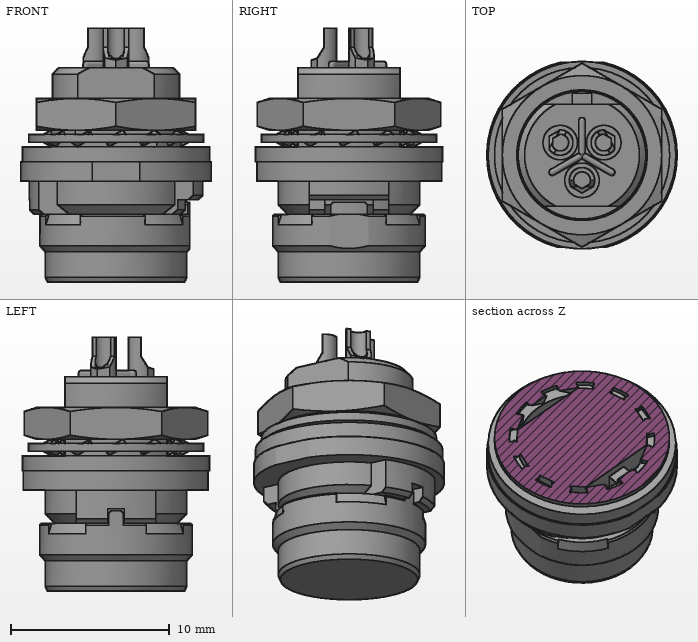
import cadquery as cq
import math

plug_bevel_height = 0.3
plug_bevel_width = 0.15
plug_top = 1.9
ring_cone_top = 2.3
recess_floor = 3.63
ring_top = 4.27
body_bottom = ring_top
body_cone_top = 4.88
flange_bottom = 6.37
gasket_bottom = 7.58
gasket_top = 8.53
nut_bottom = 9.57
nut_top = 11.57
thread_top = 13.5
total_height = 16

plug_radius = 4.46
ring_radius = 4.82
ring_edge_chamfer = 0.11
ring_inner_radius = 4.29
ring_groove_depth = 0.48
ring_flat = 4.65
flange_radius = 6.0
flange_flat_front = 5.8
flange_flat_back = 5.85
gasket_radius = 5.9
neck_radius = plug_radius - (body_cone_top - body_bottom)
thread_radius = 4.02
thread_chamfer = 0.4
thread_flat = 3.22
nut_bore_radius = 4.11
bore_ledge_depth = 0.32

overlap = 0.08
clearance = 0.16

recess_depth = 0.22
recess_span = 38.5
recess_angles = (48.4, 137.3, -137.3, -48.4)

wing_radius = 5.47
wing_half_width = 2.51
wing_chamfer = 0.29
step_height = 5.18
step_radius = 4.62
tab_chamfer = 0.16
left_notch_half_width = 0.53
left_tab_half_width = 0.46
left_tab_top = 5.07
right_notch_half_width = 1.52
right_tab_half_width = 1.15
right_tab_top = 5.04

nut_across_flats = 10.03
nut_corner_drop = 0.25

washer_radius = 5.52
washer_bore_radius = 4.56
washer_bottom = 8.8
washer_thickness = 0.51
tooth_count = 12
tooth_width = 1.28
tooth_root_thickness = 0.45
tooth_twist = 28.0
tooth_tip_radius = 4.06

key_half_width = 0.62
key_reach = 3.9

contact_pitch_radius = 1.58
contact_angles = (30, 150, 270)
contact_radius = 0.8
contact_bore = 0.53
contact_hole_radius = 1.09
contact_hole_depth = 1.28
contact_lip = 13.98
contact_slope_bottom = 14.11
contact_slope_top = 14.78
contact_slope_reach = 0.42
rib_angles = (90, 210, 330)
rib_length = 2.37
rib_width = 0.42
rib_height = 0.4
rib_fillet = 0.2


def cylinder(radius, bottom, top):
    return cq.Workplane("XY", origin=(0, 0, bottom)).circle(radius).extrude(top - bottom)


def box(x_min, x_max, y_min, y_max, z_min, z_max):
    size = (x_max - x_min, y_max - y_min, z_max - z_min)
    return cq.Workplane("XY", origin=(x_min, y_min, z_min)).box(*size, centered=False)


def turned(profile, angle=360):
    """Revolve (radius, height) points about Z, starting at the +X side."""
    return cq.Workplane("XZ").polyline(profile).close().revolve(angle, (0, 0), (0, 1))


def about_z(shape, angle):
    return shape.rotate((0, 0, 0), (0, 0, 1), angle)


def make_plug():
    return turned([
        (0, 0),
        (plug_radius - plug_bevel_width, 0),
        (plug_radius, plug_bevel_height),
        (plug_radius, plug_top),
        (0, plug_top),
    ])


def make_ring():
    ring = turned([
        (0, plug_top),
        (plug_radius, plug_top),
        (ring_radius, ring_cone_top),
        (ring_radius, ring_top - ring_edge_chamfer),
        (ring_radius - ring_edge_chamfer, ring_top),
        (0, ring_top),
    ])
    slope = (ring_top - recess_floor) / recess_depth
    outer = ring_radius + clearance
    recess_top = recess_floor + slope * (recess_depth + clearance)
    recess = turned([
        (ring_radius, recess_floor),
        (outer, recess_floor),
        (outer, recess_top),
        (ring_radius - recess_depth - clearance, recess_top),
    ], recess_span)
    for angle in recess_angles:
        middle = recess.val().Center()
        own_angle = math.degrees(math.atan2(middle.y, middle.x))
        ring = ring.cut(about_z(recess, angle - own_angle))
    groove_floor = ring_top - ring_groove_depth
    groove = cylinder(ring_inner_radius, groove_floor, ring_top)
    ring = ring.cut(groove.cut(cylinder(neck_radius, groove_floor, ring_top)))
    return ring.cut(box(ring_flat, outer, -outer, outer, plug_top, ring_top))


def make_body():
    return turned([
        (0, ring_top - overlap),
        (neck_radius, ring_top - overlap),
        (neck_radius, body_bottom),
        (plug_radius, body_cone_top),
        (plug_radius, flange_bottom + overlap),
        (0, flange_bottom + overlap),
    ])


def make_wing_disc(radius, bottom):
    disc = cylinder(radius, bottom, flange_bottom + overlap)
    return disc.faces("<Z").edges().chamfer(wing_chamfer)


def make_wings():
    """Left wing at full depth; right wing stepped to a smaller radius lower down."""
    half = wing_half_width
    reach = wing_radius + clearance
    left = make_wing_disc(wing_radius, body_bottom).intersect(
        box(-reach, 0, -half, half, body_bottom, flange_bottom + overlap))
    right = make_wing_disc(wing_radius, step_height).union(make_wing_disc(step_radius, body_bottom))
    right = right.intersect(box(0, reach, -half, half, body_bottom, flange_bottom + overlap))

    notches = box(-reach, 0, -left_notch_half_width, left_notch_half_width, body_bottom, step_height)
    notches = notches.union(
        box(0, reach, -right_notch_half_width, right_notch_half_width, body_bottom, step_height))
    notches = notches.cut(cylinder(neck_radius, 0, flange_bottom))
    return left.union(right).cut(notches)


def make_tab(side, radius, half_width, top):
    """Upright tab on the ring rim; side is -1 for -X and +1 for +X."""
    low = ring_top - 2 * ring_edge_chamfer
    tab = box(0, radius + clearance, -half_width, half_width, low, top)
    tab = tab.faces(">Z").edges("|X").chamfer(tab_chamfer)
    tab = tab.intersect(cylinder(radius, low, top)).cut(cylinder(ring_inner_radius, low, top))
    return tab if side > 0 else about_z(tab, 180)


def make_flange():
    flange = cylinder(flange_radius, flange_bottom, gasket_bottom)
    reach = flange_radius + clearance
    return flange.intersect(
        box(-reach, reach, -flange_flat_front, flange_flat_back, flange_bottom, gasket_bottom))


def make_gasket():
    """Flat ring whose bore leaves the thread flats open down to the flange."""
    return cylinder(gasket_radius, gasket_bottom, gasket_top).cut(
        cylinder(thread_radius, gasket_bottom, gasket_top))


def make_thread():
    """Threaded neck with two flats, wider inside the nut where the threads meet."""
    neck = cylinder(thread_radius, gasket_bottom - overlap, thread_top)
    neck = neck.faces(">Z").edges().chamfer(thread_chamfer)
    neck = neck.union(cylinder(nut_bore_radius, gasket_top, nut_top - bore_ledge_depth))
    reach = nut_bore_radius + clearance
    neck = neck.intersect(
        box(-reach, reach, -thread_flat, thread_flat, gasket_bottom - overlap, thread_top))
    key = box(-key_half_width, key_half_width, 0, key_reach, gasket_bottom - overlap, gasket_top)
    return neck.union(key)


def make_nut():
    across_corners = nut_across_flats / math.cos(math.pi / 6)
    corner_radius = across_corners / 2
    flat_radius = nut_across_flats / 2
    hexagon = cq.Workplane("XY", origin=(0, 0, nut_bottom)).polygon(6, across_corners)
    nut = about_z(hexagon.extrude(nut_top - nut_bottom), 30)
    rounding = turned([
        (0, nut_bottom),
        (flat_radius, nut_bottom),
        (corner_radius, nut_bottom + nut_corner_drop),
        (corner_radius, nut_top - nut_corner_drop),
        (flat_radius, nut_top),
        (0, nut_top),
    ])
    return nut.intersect(rounding).cut(cylinder(nut_bore_radius, nut_bottom, nut_top))


def make_lock_washer():
    """Flat ring with inward teeth, each twisted so that its tip bites up and down."""
    washer_top = washer_bottom + washer_thickness
    washer = cylinder(washer_radius, washer_bottom, washer_top)
    washer = washer.cut(cylinder(washer_bore_radius, washer_bottom, washer_top))
    middle = washer_bottom + washer_thickness / 2
    root_offset = washer_bore_radius + overlap - tooth_tip_radius
    tooth = (
        cq.Workplane("XZ", origin=(0, -tooth_tip_radius, middle))
        .transformed(rotate=(0, 0, tooth_twist))
        .rect(tooth_width, washer_thickness)
        .transformed(offset=(0, 0, root_offset), rotate=(0, 0, -tooth_twist))
        .rect(tooth_width, tooth_root_thickness)
        .loft(ruled=True)
    )
    for index in range(tooth_count):
        washer = washer.union(about_z(tooth, index * 360 / tooth_count))
    return washer


def contact_outline(plane, radius):
    """Arc facing the axis, closed by two flat facets with a corner facing out."""
    corner_x = radius * math.cos(math.pi / 3)
    corner_y = radius * math.sin(math.pi / 3)
    return (
        plane.moveTo(corner_x, corner_y)
        .threePointArc((-radius, 0), (corner_x, -corner_y))
        .lineTo(radius, 0)
        .close()
    )


def make_contact():
    """Solder cup at +X, its upper part cut open on the outward side."""
    hole_floor = thread_top - contact_hole_depth
    height = total_height - hole_floor
    base = cq.Workplane("XY", origin=(contact_pitch_radius, 0, hole_floor))
    cup = contact_outline(base, contact_radius).extrude(height)
    bore_plane = cq.Workplane("XY", origin=(contact_pitch_radius, 0, thread_top))
    cup = cup.cut(contact_outline(bore_plane, contact_bore).extrude(height))
    opening = (
        cq.Workplane("XZ", origin=(contact_pitch_radius, 0, 0))
        .moveTo(0, total_height)
        .lineTo(0, contact_slope_top)
        .lineTo(contact_slope_reach, contact_slope_bottom)
        .lineTo(contact_radius, contact_lip)
        .lineTo(contact_radius, total_height)
        .close()
        .extrude(contact_radius, both=True)
    )
    return cup.cut(opening)


def make_rib():
    """Three-armed dividing rib with rounded ends and rounded top edges."""
    bottom = thread_top - overlap
    top = thread_top + rib_height
    end_radius = rib_width / 2
    end_centre = rib_length - end_radius
    rib = None
    for angle in rib_angles:
        arm = box(0, end_centre, -end_radius, end_radius, bottom, top)
        arm = arm.union(cylinder(end_radius, bottom, top).translate((end_centre, 0, 0)))
        arm = about_z(arm, angle)
        rib = arm if rib is None else rib.union(arm)
    return rib.faces(">Z").edges().fillet(rib_fillet)


result = make_plug()
for section in (
    make_ring(),
    make_body(),
    make_wings(),
    make_tab(-1, ring_radius, left_tab_half_width, left_tab_top),
    make_tab(1, ring_flat, right_tab_half_width, right_tab_top),
    make_flange(),
    make_gasket(),
    make_thread(),
    make_nut(),
    make_lock_washer(),
    make_rib(),
):
    result = result.union(section)

contact_hole = cylinder(contact_hole_radius, thread_top - contact_hole_depth, thread_top + rib_height)
contact_hole = contact_hole.translate((contact_pitch_radius, 0, 0))
for contact_angle in contact_angles:
    result = result.cut(about_z(contact_hole, contact_angle))
    result = result.union(about_z(make_contact(), contact_angle))